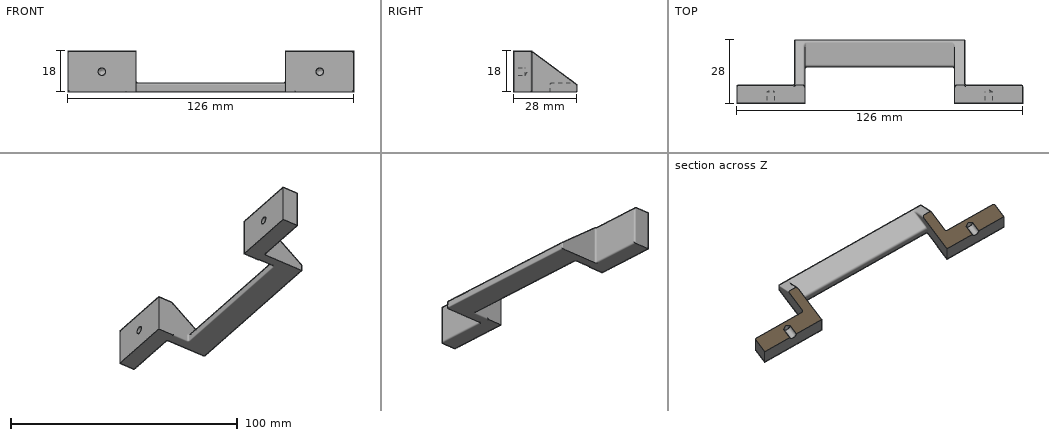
import cadquery as cq

length = 126.0
depth = 28.0
height = 18.0

foot_length = 30.1
foot_depth = 8.1
foot_round = 0.8

leg_thickness = 4.7
leg_inner_x = length / 2 - foot_length
leg_outer_x = leg_inner_x + leg_thickness
tip_height = 3.3
bar_width = 12.0
bar_height = 4.0
bar_front_y = depth - bar_width

inner_round = 1.0
joint_round = 0.8
outer_round = 0.5

hole_spacing = 96.0
hole_diameter = 3.3
hole_depth = 5.0
drill_point_depth = 1.0

tolerance = 0.01


def box_between(low, high):
    """Axis-aligned box between two opposite corners."""
    size = [b - a for a, b in zip(low, high)]
    return cq.Workplane("XY").box(*size, centered=False).translate(low)


def edges_near(body, low, high):
    """Edges lying wholly inside the box between two corners."""
    low = [value - tolerance for value in low]
    high = [value + tolerance for value in high]
    return body.edges(cq.selectors.BoxSelector(low, high, boundingbox=True))


def make_foot(side):
    """Foot block with its outer end and long back edges rounded; side is -1 or 1."""
    foot = box_between((leg_inner_x, 0, 0), (length / 2, foot_depth, height))
    foot = foot.faces(">Y").edges(">X or >Z or <Z").fillet(foot_round)
    return foot if side > 0 else foot.mirror("YZ")


def make_frame():
    """Sloping legs and bar, with rounded inside joints and edges."""
    profile = [(0, 0), (depth, 0), (depth, tip_height), (foot_depth, height), (0, height)]
    frame = cq.Workplane("YZ").polyline(profile).close().extrude(leg_outer_x, both=True)
    frame = frame.cut(box_between((-leg_inner_x, 0, bar_height), (leg_inner_x, depth, height)))
    frame = frame.cut(box_between((-leg_inner_x, 0, 0), (leg_inner_x, bar_front_y, height)))

    frame = edges_near(
        frame,
        (-leg_inner_x, bar_front_y, bar_height),
        (leg_inner_x, bar_front_y, bar_height),
    ).fillet(inner_round)

    for x in (-leg_inner_x, leg_inner_x):
        frame = edges_near(frame, (x, bar_front_y, 0), (x, bar_front_y, bar_height)).fillet(joint_round)

    return edges_near(
        frame,
        (-leg_inner_x, bar_front_y, 0),
        (leg_inner_x, bar_front_y, 0),
    ).fillet(outer_round)


def round_outside(body):
    """Round the back face all around and the sloping outer edges of both legs."""
    edges = edges_near(body, (-leg_outer_x, depth, 0), (leg_outer_x, depth, height))
    for x in (-leg_outer_x, leg_outer_x):
        leg_edges = edges_near(body, (x, foot_depth, 0), (x, depth, height))
        edges = edges.add(leg_edges.edges("not(|Z or |Y)"))
    return body.newObject(edges.vals()).fillet(outer_round)


def round_foot_joints(body):
    """Fill the corners between the outer leg walls and the backs of the feet."""
    for x in (-leg_outer_x, leg_outer_x):
        body = edges_near(body, (x, foot_depth, 0), (x, foot_depth, height)).fillet(joint_round)
    return body


def round_slope(body):
    """Round the inner boundary of the sloping face, down both legs and along the bar."""
    slope = (height - tip_height) / (depth - foot_depth)
    bar_back_y = depth - (bar_height - tip_height) / slope
    bar_back_edge = edges_near(
        body,
        (-leg_inner_x, bar_back_y, bar_height),
        (leg_inner_x, bar_back_y, bar_height),
    )
    return bar_back_edge.fillet(inner_round)


def screw_hole(x):
    """Cutter for one blind hole entering a mounting face."""
    radius = hole_diameter / 2
    tip_y = hole_depth + drill_point_depth
    outline = cq.Workplane("XY").polyline([(0, 0), (radius, 0), (radius, hole_depth), (0, tip_y)]).close()
    return outline.revolve(360, (0, 0), (0, 1)).translate((x, 0, height / 2))


result = make_frame().union(make_foot(1)).union(make_foot(-1))
result = round_outside(result)
result = round_foot_joints(result)
result = round_slope(result)
for side in (-1, 1):
    result = result.cut(screw_hole(side * hole_spacing / 2))